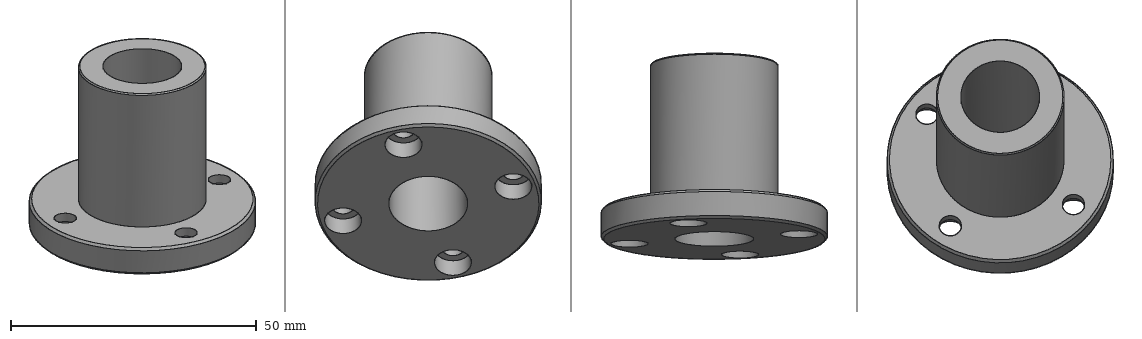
import cadquery as cq

flange_diameter = 46.0
flange_thickness = 6.0
total_height = 36.0
sleeve_diameter = 26.0
bore_diameter = 16.0

flange_chamfer = 0.5
sleeve_chamfer = 0.28

hole_count = 4
bolt_circle_diameter = 36.0
hole_diameter = 4.5
counterbore_diameter = 7.5
counterbore_depth = 4.1

flange = (
    cq.Workplane("XY")
    .circle(flange_diameter / 2)
    .extrude(flange_thickness)
    .edges()
    .chamfer(flange_chamfer)
)

sleeve = (
    cq.Workplane("XY")
    .circle(sleeve_diameter / 2)
    .extrude(total_height)
    .faces(">Z")
    .edges()
    .chamfer(sleeve_chamfer)
)


def hole_pattern(diameter, depth):
    """Cylinders on the bolt circle, rising from the underside of the flange."""
    return (
        cq.Workplane("XY")
        .polarArray(bolt_circle_diameter / 2, 0, 360, hole_count)
        .circle(diameter / 2)
        .extrude(depth)
    )


bore = cq.Workplane("XY").circle(bore_diameter / 2).extrude(total_height)

result = (
    flange.union(sleeve)
    .cut(bore)
    .cut(hole_pattern(hole_diameter, flange_thickness))
    .cut(hole_pattern(counterbore_diameter, counterbore_depth))
)